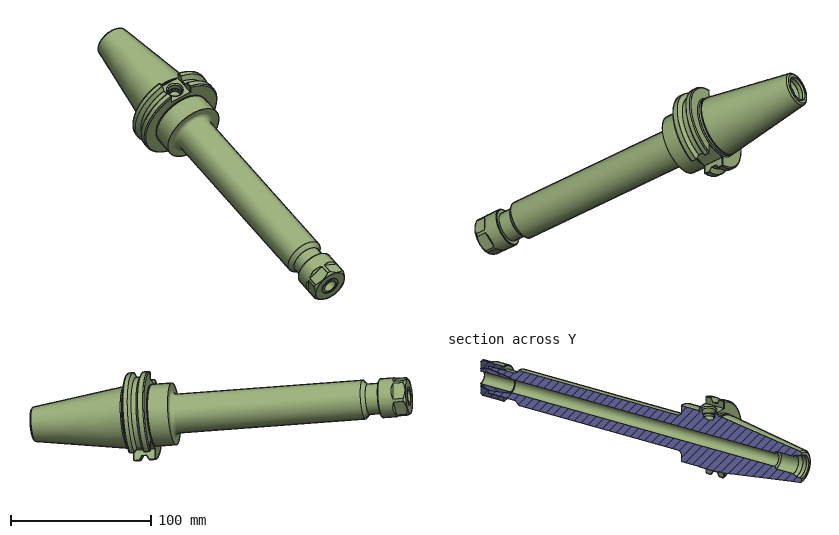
import cadquery as cq
import math

length = 274.5

taper_length = 68.4
taper_diameter = 44.5
taper_ratio = 7 / 24
nose_chamfer = 1.0
mouth_diameter = 18.0
mouth_length = 1.6
pilot_diameter = 17.0
pilot_end = 4.7
thread_diameter = 13.5
thread_cone_length = 2.5
thread_end = 22.0
thread_point_angle = 118.0
coolant_diameter = 10.2

flange_start = 71.6
flange_end = 87.5
flange_diameter = 63.1
flange_chamfer = 0.8
relief_depth = 0.3
relief_step = 0.8
shoulder_relief_width = 0.8
root_chamfer = 0.8
groove_middle = 79.3
groove_diameter = 56.3
groove_floor_width = 3.5
groove_flank_angle = 30.0

slot_width = 16.0
slot_chamfer = 0.4
top_slot_floor = 24.7
bottom_slot_floor = 22.5

chip_mouth_diameter = 12.0
chip_diameter = 10.2
chip_depth = 4.7
chip_drill_diameter = 8.0
chip_drill_depth = 6.5
chip_point_angle = 140.0

shoulder_end = 103.0
shoulder_diameter = 44.5
shank_fillet = 3.3
shank_end = 241.8
shank_diameter = 28.0
neck_diameter = 22.0
neck_end = 268.0

collet_start = 248.7
collet_bore = 9.5
collet_diameter = 17.0
collet_taper_angle = 8.0
collet_rim = 2.7
collet_face_diameter = 13.5
collet_face_angle = 30.0

nut_start = 254.2
nut_diameter = 28.0
nut_back_chamfer = 0.5
nut_face_chamfer = 1.6
flat_count = 6
flats_across = 25.3
flats_start = 265.7

taper_radius = taper_diameter / 2
nose_radius = (taper_diameter - taper_length * taper_ratio) / 2
flange_radius = flange_diameter / 2
shoulder_radius = shoulder_diameter / 2
shank_radius = shank_diameter / 2
neck_radius = neck_diameter / 2
nut_radius = nut_diameter / 2
collet_radius = collet_diameter / 2
collet_face_radius = collet_face_diameter / 2
collet_rear_radius = collet_radius - (neck_end - collet_start) * math.tan(math.radians(collet_taper_angle))
collet_rim_end = neck_end + collet_rim
collet_cone_end = collet_rim_end + (collet_radius - collet_face_radius) / math.tan(
    math.radians(collet_face_angle))
flange_middle = (flange_start + flange_end) / 2
flange_width = flange_end - flange_start


def turned(points):
    """Turn a closed (x, radius) outline about the X axis."""
    return cq.Workplane("XY").polyline(points).close().revolve(360, (0, 0, 0), (1, 0, 0))


def holder_blank():
    """Taper, flange and shank turned as one outline."""
    fillet_start = (shoulder_end, shank_radius + shank_fillet)
    fillet_end = (shoulder_end + shank_fillet, shank_radius)
    fillet_offset = shank_fillet * (1 - math.sqrt(0.5))
    fillet_middle = (shoulder_end + fillet_offset, shank_radius + fillet_offset)
    neck_start = shank_end + shank_radius - neck_radius
    outline = (
        cq.Workplane("XY")
        .moveTo(0, 0)
        .lineTo(0, nose_radius - nose_chamfer)
        .lineTo(nose_chamfer, nose_radius + nose_chamfer * taper_ratio / 2)
        .lineTo(taper_length, taper_radius)
        .lineTo(taper_length + relief_step, taper_radius - relief_depth)
        .lineTo(flange_start - root_chamfer, taper_radius - relief_depth)
        .lineTo(flange_start, taper_radius - relief_depth + root_chamfer)
        .lineTo(flange_start, flange_radius - flange_chamfer)
        .lineTo(flange_start + flange_chamfer, flange_radius)
        .lineTo(flange_end - flange_chamfer, flange_radius)
        .lineTo(flange_end, flange_radius - flange_chamfer)
        .lineTo(flange_end, shoulder_radius - relief_depth)
        .lineTo(flange_end + shoulder_relief_width, shoulder_radius - relief_depth)
        .lineTo(flange_end + shoulder_relief_width, shoulder_radius)
        .lineTo(shoulder_end, shoulder_radius)
        .lineTo(*fillet_start)
        .threePointArc(fillet_middle, fillet_end)
        .lineTo(shank_end, shank_radius)
        .lineTo(neck_start, neck_radius)
        .lineTo(neck_end, neck_radius)
        .lineTo(neck_end, 0)
        .close()
    )
    return outline.revolve(360, (0, 0, 0), (1, 0, 0))


def gripper_groove():
    """Ring of V section with a flat floor, cut round the flange."""
    floor_radius = groove_diameter / 2
    half_floor = groove_floor_width / 2
    half_mouth = half_floor + (flange_radius - floor_radius) * math.tan(math.radians(groove_flank_angle))
    return turned([
        (groove_middle - half_floor, floor_radius),
        (groove_middle - half_mouth, flange_radius),
        (groove_middle + half_mouth, flange_radius),
        (groove_middle + half_floor, floor_radius),
    ])


def drive_slot(floor, side):
    """Block that cuts a slot outside the given floor; side is 1 for +Z and -1 for -Z."""
    depth = flange_radius - floor
    middle = side * (floor + depth / 2)
    return cq.Workplane("XY").box(flange_width, slot_width, depth).translate((flange_middle, 0, middle))


def break_slot_edges(body):
    """Chamfer the free edges of the four slot walls, leaving the corners at the slot floors sharp."""
    reach = top_slot_floor + bottom_slot_floor

    def at_wall(side):
        wall = side * slot_width / 2
        return cq.selectors.BoxSelector(
            (flange_start - slot_chamfer, wall - slot_chamfer, -reach),
            (flange_end + slot_chamfer, wall + slot_chamfer, reach),
        )

    def free(edge):
        height = edge.Center().z
        return height > top_slot_floor + slot_chamfer or height < -bottom_slot_floor - slot_chamfer

    edges = body.edges(at_wall(1) + at_wall(-1)).filter(free)
    return edges.chamfer(slot_chamfer)


def chip_pocket():
    """Chamfered pocket with a smaller drilled hole in its floor, along Z."""
    mouth_radius = chip_mouth_diameter / 2
    pocket_radius = chip_diameter / 2
    drill_radius = chip_drill_diameter / 2
    point_depth = drill_radius / math.tan(math.radians(chip_point_angle / 2))
    outline = [
        (0, 0),
        (mouth_radius, 0),
        (pocket_radius, pocket_radius - mouth_radius),
        (pocket_radius, -chip_depth),
        (drill_radius, -chip_depth),
        (drill_radius, -chip_drill_depth),
        (0, -chip_drill_depth - point_depth),
    ]
    pocket = cq.Workplane("XZ").polyline(outline).close().revolve(360, (0, 0, 0), (0, 1, 0))
    return pocket.translate((flange_middle, 0, top_slot_floor))


def holder_bore():
    """Stepped pull-stud bore, coolant bore and tapered collet seat."""
    pilot_radius = pilot_diameter / 2
    thread_radius = thread_diameter / 2
    coolant_radius = coolant_diameter / 2
    point_length = (thread_radius - coolant_radius) / math.tan(math.radians(thread_point_angle / 2))
    return turned([
        (0, 0),
        (0, mouth_diameter / 2),
        (mouth_length, pilot_radius),
        (pilot_end, pilot_radius),
        (pilot_end + thread_cone_length, thread_radius),
        (thread_end, thread_radius),
        (thread_end + point_length, coolant_radius),
        (collet_start, coolant_radius),
        (collet_start, collet_rear_radius),
        (neck_end, collet_radius),
        (neck_end, 0),
    ])


def make_holder():
    slotted = (
        holder_blank()
        .cut(drive_slot(top_slot_floor, 1))
        .cut(drive_slot(bottom_slot_floor, -1))
    )
    return (
        break_slot_edges(slotted)
        .cut(gripper_groove())
        .cut(chip_pocket())
        .cut(holder_bore())
    )


def make_collet():
    bore_radius = collet_bore / 2
    return turned([
        (collet_start, bore_radius),
        (collet_start, collet_rear_radius),
        (neck_end, collet_radius),
        (collet_rim_end, collet_radius),
        (collet_cone_end, collet_face_radius),
        (length, collet_face_radius),
        (length, bore_radius),
    ])


def nut_flat():
    """Cutter for the +Z wrench flat, with a 45 degree run-out at its inner end."""
    flat_height = flats_across / 2
    cut_depth = nut_radius - flat_height
    return (
        cq.Workplane("XZ")
        .polyline([
            (flats_start, flat_height),
            (flats_start - cut_depth, nut_radius),
            (length, nut_radius),
            (length, flat_height),
        ])
        .close()
        .extrude(nut_radius, both=True)
    )


def make_nut():
    nut = turned([
        (nut_start, nut_radius - nut_back_chamfer),
        (nut_start + nut_back_chamfer, nut_radius),
        (length - nut_face_chamfer, nut_radius),
        (length, nut_radius - nut_face_chamfer),
        (length, collet_face_radius),
        (collet_cone_end, collet_face_radius),
        (collet_rim_end, collet_radius),
        (neck_end, collet_radius),
        (neck_end, neck_radius),
        (nut_start, neck_radius),
    ])
    flat_step = 360 / flat_count
    for index in range(flat_count):
        angle = 90 + index * flat_step
        nut = nut.cut(nut_flat().rotate((0, 0, 0), (1, 0, 0), angle))
    return nut


holder = make_holder()
collet = make_collet()
nut = make_nut()

result = cq.Compound.makeCompound([holder.val(), collet.val(), nut.val()])